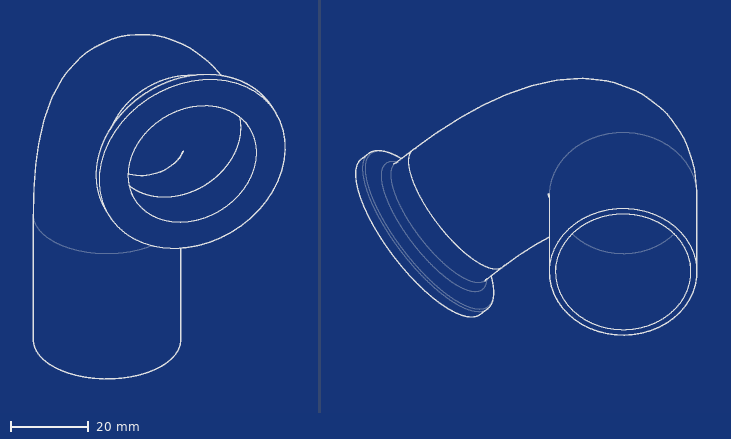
import cadquery as cq
import math

overall_height = 120.5
tube_diameter = 38.1
bore_diameter = 34.8
bend_radius = 57.1
flange_diameter = 50.5
ferrule_length = 12.8
flange_edge_width = 2.9
cone_angle = 20.0
neck_fillet_radius = 2.2
rim_fillet_radius = 0.6

tube_radius = tube_diameter / 2
bore_radius = bore_diameter / 2
flange_radius = flange_diameter / 2
leg_length = overall_height - flange_radius - bend_radius
outlet_height = leg_length + bend_radius
cone_length = (flange_radius - tube_radius) * math.tan(math.radians(cone_angle))
cone_end = ferrule_length - flange_edge_width
cone_start = cone_end - cone_length


def make_elbow():
    """Hollow tube: a vertical leg followed by a 90 degree bend towards +X."""
    half_bend = math.radians(45)
    bend_middle = (
        bend_radius * (1 - math.cos(half_bend)),
        leg_length + bend_radius * math.sin(half_bend),
    )
    centerline = (
        cq.Workplane("XZ")
        .lineTo(0, leg_length)
        .threePointArc(bend_middle, (bend_radius, outlet_height))
    )
    return cq.Workplane("XY").circle(tube_radius).circle(bore_radius).sweep(centerline)


def make_ferrule():
    """Clamp ferrule: a short neck widening through a cone into a flange."""
    ferrule = (
        cq.Workplane("XZ", origin=(bend_radius, 0, outlet_height))
        .moveTo(0, bore_radius)
        .lineTo(0, tube_radius)
        .lineTo(cone_start, tube_radius)
        .lineTo(cone_end, flange_radius)
        .lineTo(ferrule_length, flange_radius)
        .lineTo(ferrule_length, bore_radius)
        .close()
        .revolve(360, (0, 0), (1, 0))
    )
    neck_x = bend_radius + cone_start
    rim_x = bend_radius + cone_end
    ferrule = round_circle(ferrule, neck_x, neck_fillet_radius)
    return round_circle(ferrule, rim_x, rim_fillet_radius)


def round_circle(body, x, radius):
    """Fillet the circular edge that lies in the plane at the given X."""
    margin = 0.01
    reach = 2 * flange_radius
    circle = cq.selectors.BoxSelector(
        (x - margin, -reach, outlet_height - reach),
        (x + margin, reach, outlet_height + reach),
    )
    return body.edges(circle).fillet(radius)


elbow = make_elbow()
ferrule = make_ferrule()

result = cq.Compound.makeCompound([elbow.val(), ferrule.val()])